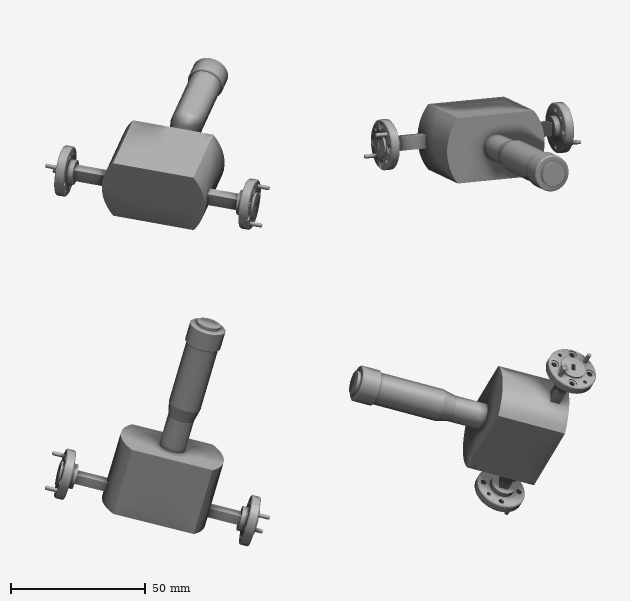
import cadquery as cq
import math


overall_length = 83.95
overall_depth = 82.5
half_length = overall_length / 2

block_diameter = 40.0
block_height = 25.0
block_front = -5.7
block_back = 21.1

flange_diameter = 19.05
flange_thickness = 3.4
flange_chamfer = 0.3
hub_diameter = 9.5
boss_height = 0.8
hub_length = 2.2
pin_projection = 4.5
pin_diameter = 1.6
pin_chamfer = 0.25
bolt_circle_diameter = 14.3
screw_hole_diameter = 2.2
counterbore_diameter = 3.5
counterbore_depth = 0.5

tube_width = 3.6
tube_height = 5.1
bore_width = 1.6
bore_height = 3.0

barrel_diameter = 10.0
thimble_diameter = 12.25
knob_diameter = 13.7
cap_diameter = 9.0
taper_start = 33.7
taper_end = 38.8
knob_start = 64.1
knob_end = 71.8
cap_end = overall_depth - flange_diameter / 2
knob_chamfer = 0.3

flange_face = half_length - pin_projection
flange_back = flange_face - flange_thickness
boss_face = flange_face + boss_height
hub_end = flange_back - hub_length


def cylinder_x(diameter, start, end, places=((0, 0),)):
    """Cylinders along +X from start to end, centred on the given (Y, Z) places."""
    return cq.Workplane("YZ", origin=(start, 0, 0)).pushPoints(places).circle(diameter / 2).extrude(end - start)


def bolt_circle_places(angles):
    """(Y, Z) places on the bolt circle at the given angles in degrees."""
    radius = bolt_circle_diameter / 2
    return [(radius * math.cos(math.radians(a)), radius * math.sin(math.radians(a))) for a in angles]


screw_places = bolt_circle_places((0, 90, 180, 270))
pin_places = bolt_circle_places((45, 225))
mating_hole_places = bolt_circle_places((135, 315))


def block_disc():
    disc = cq.Workplane("XZ", origin=(0, block_front, 0)).circle(block_diameter / 2)
    return disc.extrude(block_front - block_back)


def block():
    """Disc cut flat above and below by a slab that is at least as long and wide as the disc."""
    slab = cq.Workplane("XY").box(block_diameter, 2 * block_back, block_height)
    return block_disc().intersect(slab)


def micrometer():
    """Turned profile revolved about Y; it starts on the back face of the block."""
    profile = [
        (0, block_back),
        (barrel_diameter / 2, block_back),
        (barrel_diameter / 2, taper_start),
        (thimble_diameter / 2, taper_end),
        (thimble_diameter / 2, knob_start),
        (knob_diameter / 2 - knob_chamfer, knob_start),
        (knob_diameter / 2, knob_start + knob_chamfer),
        (knob_diameter / 2, knob_end - knob_chamfer),
        (knob_diameter / 2 - knob_chamfer, knob_end),
        (cap_diameter / 2, knob_end),
        (cap_diameter / 2, cap_end),
        (0, cap_end),
    ]
    return cq.Workplane("XY").polyline(profile).close().revolve(360, (0, 0, 0), (0, 1, 0))


def flange():
    """Round flange on +X with hub, raised boss, screw holes and holes for two sets of dowel pins."""
    plate = cylinder_x(flange_diameter, flange_back, flange_face).edges().chamfer(flange_chamfer)
    hub = cylinder_x(hub_diameter, hub_end, boss_face)
    screw_holes = cylinder_x(screw_hole_diameter, flange_back, flange_face, screw_places)
    counterbores = cylinder_x(counterbore_diameter, flange_face - counterbore_depth, flange_face, screw_places)
    pin_holes = cylinder_x(pin_diameter, flange_back, flange_face, pin_places + mating_hole_places)
    return plate.cut(screw_holes).cut(counterbores).cut(pin_holes).union(hub)


def arm():
    """Waveguide tube with its flange on +X; the bore stops at the round side of the block."""
    tube = cq.Workplane("YZ").rect(tube_width, tube_height).extrude(hub_end)
    bore = cq.Workplane("YZ").rect(bore_width, bore_height).extrude(boss_face)
    return tube.union(flange()).cut(bore).cut(block_disc())


def dowel_pins():
    """The two pins of the +X flange, flush with its back and projecting from its face."""
    return cylinder_x(pin_diameter, flange_back, half_length, pin_places).faces(">X").edges().chamfer(pin_chamfer)


def turned_to_left(shape):
    return shape.rotate((0, 0, 0), (0, 0, 1), 180)


main_body = block().union(micrometer()).union(arm()).union(turned_to_left(arm()))

pins = []
for pin_pair in (dowel_pins(), turned_to_left(dowel_pins())):
    pins.extend(pin_pair.solids().vals())

result = cq.Compound.makeCompound([main_body.solids().val(), *pins])